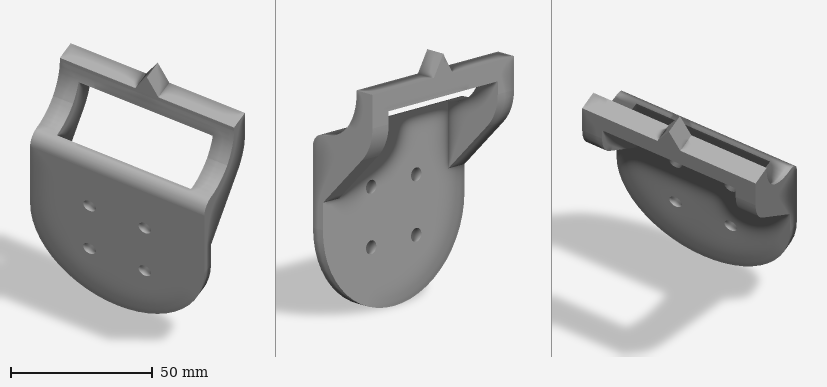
import cadquery as cq
import math

width = 70.0
depth = 30.0
height = 98.0
plate_thickness = 5.0
wall_thickness = 8.0

pointer_height = 8.0
wall_front_height = 1.8
lip_top = 70.0
lip_radius = 5.0
upper_hollow_radius = 20.0
hollow_joint_z = 75.0
lower_hollow_radius = 17.15
back_bend_radius = 18.0
brace_foot_z = 45.1

window_top = 82.3
hole_diameter = 5.1
hole_spacing = 22.2

end_radius = width / 2
wall_top = height - pointer_height
hollow_top = wall_top - wall_front_height
wall_front_y = depth - wall_thickness
window_width = width - 2 * wall_thickness


def arc_point(center_y, center_z, radius, degrees):
    angle = math.radians(degrees)
    return center_y + radius * math.cos(angle), center_z + radius * math.sin(angle)


def side_profile():
    """Closed YZ outline of the plate, its sloping brace and the offset wall."""
    hollow_center_y = wall_front_y - upper_hollow_radius
    joint_angle = math.degrees(math.asin((hollow_joint_z - hollow_top) / upper_hollow_radius))
    hollow_middle = arc_point(hollow_center_y, hollow_top, upper_hollow_radius, joint_angle / 2)
    hollow_joint = arc_point(hollow_center_y, hollow_top, upper_hollow_radius, joint_angle)

    bend_center_y = depth - back_bend_radius
    bend_end_y = arc_point(bend_center_y, 0, back_bend_radius, -45)[0]
    bend_end_z = brace_foot_z + bend_end_y - plate_thickness
    bend_top = bend_end_z + back_bend_radius * math.sin(math.radians(45))
    bend_middle = arc_point(bend_center_y, bend_top, back_bend_radius, -22.5)

    lip_center_z = lip_top - lip_radius
    return (
        cq.Workplane("YZ")
        .moveTo(0, 0)
        .lineTo(0, lip_center_z)
        .threePointArc(arc_point(lip_radius, lip_center_z, lip_radius, 135), (lip_radius, lip_top))
        .radiusArc(hollow_joint, -lower_hollow_radius)
        .threePointArc(hollow_middle, (wall_front_y, hollow_top))
        .lineTo(wall_front_y, wall_top)
        .lineTo(depth, wall_top)
        .lineTo(depth, bend_top)
        .threePointArc(bend_middle, (bend_end_y, bend_end_z))
        .lineTo(plate_thickness, brace_foot_z)
        .lineTo(plate_thickness, 0)
        .close()
    )


def front_outline():
    """Rectangle with a full round at its lower end, as a prism through the depth."""
    return (
        cq.Workplane("XZ")
        .moveTo(-end_radius, wall_top)
        .lineTo(-end_radius, end_radius)
        .threePointArc((0, 0), (end_radius, end_radius))
        .lineTo(end_radius, wall_top)
        .close()
        .extrude(-depth)
    )


def pointer():
    """Equilateral triangular tooth on top of the wall."""
    half_base = pointer_height * math.tan(math.radians(30))
    return (
        cq.Workplane("XZ", origin=(0, wall_front_y, 0))
        .polyline([(-half_base, wall_top), (half_base, wall_top), (0, height)])
        .close()
        .extrude(-wall_thickness)
    )


def window():
    """Opening behind the plate, leaving a brace at each side."""
    return (
        cq.Workplane("XY")
        .box(window_width, depth, window_top - brace_foot_z, centered=(True, False, False))
        .translate((0, plate_thickness, brace_foot_z))
    )


def mounting_holes():
    """Square pattern of through holes about the center of the rounded end."""
    return (
        cq.Workplane("XZ", origin=(0, 0, end_radius))
        .rect(hole_spacing, hole_spacing, forConstruction=True)
        .vertices()
        .circle(hole_diameter / 2)
        .extrude(-plate_thickness)
    )


bracket = side_profile().extrude(width / 2, both=True).intersect(front_outline())
result = bracket.union(pointer()).cut(window()).cut(mounting_holes())